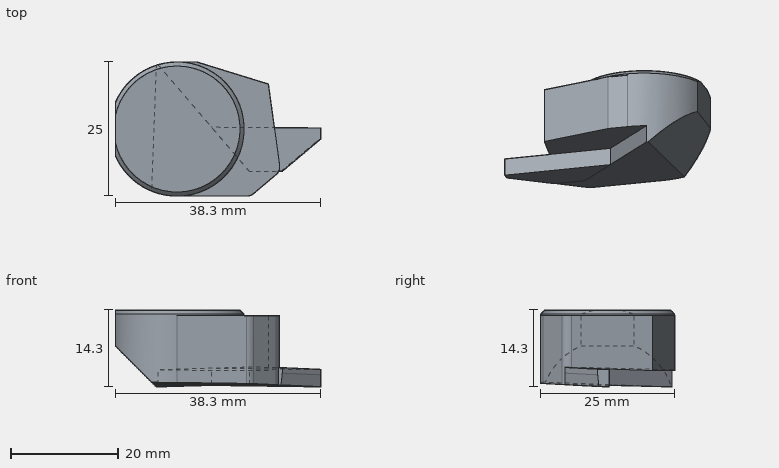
import cadquery as cq
import math

head_diameter = 25.0
head_radius = head_diameter / 2
head_x = 11.5
total_height = 14.3
head_chamfer = 0.75

shoulder_top = 13.3
back_flat_end_x = 15.2
back_corner = (28.5, 8.4)
nose_corner = (30.75, -7.8)
front_corner = (25.2, -head_radius)
corner_radius = 2.0
bevel_size = 7.65

underside_point = (6.9, -11.5, 0.88)
fall_per_x = 0.014
fall_per_y = 0.037
slab_size = 153.12

insert_thickness = 3.2
insert_front_y = -7.9
insert_back_y = 0.35
tip_x = 38.28
tip_back_y = 0.23
tip_front_y = -1.85
flank_start_x = 31.1
rim_thickness = 1.05
flank_relief = 0.15
seat_back_x = 17.9
seat_front_x = 24.95
clearance = 7.65


def tilted_slab(start, thickness):
    """Wide slab parallel to the underside, starting at a height above it."""
    x, y, z = underside_point
    plane = cq.Plane(origin=(x, y, z + start), xDir=(1, 0, -fall_per_x), normal=(fall_per_x, fall_per_y, 1))
    return cq.Workplane(plane).rect(slab_size, slab_size).extrude(thickness)


def prism(points):
    """Upright prism that passes below the underside and above the insert."""
    return cq.Workplane("XY").workplane(offset=-clearance).polyline(points).close().extrude(3 * clearance)


def make_head():
    return (
        cq.Workplane("XY").center(head_x, 0).circle(head_radius).extrude(total_height)
        .faces(">Z").chamfer(head_chamfer)
    )


def make_deck():
    deck = (
        cq.Workplane("XY")
        .moveTo(head_x, -head_radius)
        .lineTo(*front_corner)
        .lineTo(*nose_corner)
        .lineTo(*back_corner)
        .lineTo(back_flat_end_x, head_radius)
        .lineTo(head_x, head_radius)
        .close()
        .extrude(shoulder_top)
    )
    for x, y in (front_corner, nose_corner):
        edge = cq.selectors.NearestToPointSelector((x, y, shoulder_top / 2))
        deck = deck.edges(edge).fillet(corner_radius)
    return deck


def make_end_cut():
    """Space beyond the flat end face and below its 45 degree bevel."""
    return (
        cq.Workplane("XZ")
        .polyline([
            (-clearance, -clearance),
            (bevel_size + clearance, -clearance),
            (0, bevel_size),
            (0, total_height + clearance),
            (-clearance, total_height + clearance),
        ])
        .close()
        .extrude(head_diameter, both=True)
    )


def make_pocket():
    """Open step for the insert, bounded by its front wall and slanted seat wall."""
    seat_run = (seat_front_x - seat_back_x) / (insert_back_y - insert_front_y)
    open_y = head_radius + clearance
    open_x = seat_back_x - seat_run * (open_y - insert_back_y)
    outline = prism([
        (seat_front_x, insert_front_y),
        (tip_x, insert_front_y),
        (tip_x, open_y),
        (open_x, open_y),
    ])
    return outline.intersect(tilted_slab(-clearance, clearance + insert_thickness))


def make_housing():
    return (
        make_head().union(make_deck())
        .cut(make_end_cut())
        .cut(tilted_slab(-clearance, clearance))
        .cut(make_pocket())
    )


def make_flank_relief():
    """Wedge below the rim that leans the lower flank inward."""
    run = tip_x - flank_start_x
    rise = tip_front_y - insert_front_y
    length = math.hypot(run, rise)
    rim_height = insert_thickness - rim_thickness
    x, y, z = underside_point
    tip_fall = fall_per_x * (tip_x - x) + fall_per_y * (tip_front_y - y)
    rim = cq.Vector(run, rise, -fall_per_x * run - fall_per_y * rise)
    lean = cq.Vector(-flank_relief * rise / length, flank_relief * run / length, -rim_height)
    plane = cq.Plane(
        origin=(tip_x, tip_front_y, z + rim_height - tip_fall),
        xDir=rim,
        normal=lean.cross(rim),
    )
    outside = cq.Workplane(plane).rect(slab_size, slab_size).extrude(clearance)
    return outside.intersect(tilted_slab(-clearance, clearance + rim_height))


def make_insert():
    outline = prism([
        (seat_front_x, insert_front_y),
        (flank_start_x, insert_front_y),
        (tip_x, tip_front_y),
        (tip_x, tip_back_y),
        (seat_back_x, insert_back_y),
    ])
    return outline.intersect(tilted_slab(0, insert_thickness)).cut(make_flank_relief())


housing = make_housing()
insert = make_insert()
result = cq.Compound.makeCompound([housing.solids().val(), insert.solids().val()])